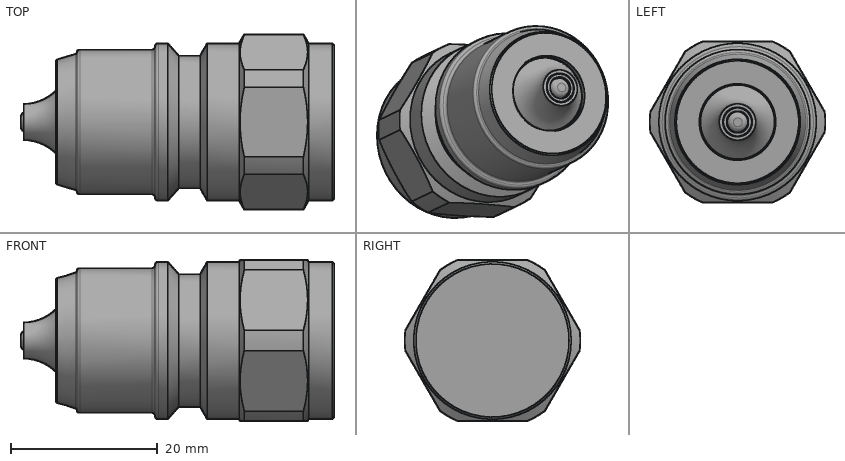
import cadquery as cq
import math

length = 42.8

pin_radius = 1.4
pin_round = 0.8
pin_depth = 0.85
pin_gap_radius = 1.5
ring_radius = 1.93
ring_gap_radius = 2.0
ring_gap_depth = 0.43
nose_start = 0.43
nose_radius = 2.5
nose_flare = 6.2
nose_base_radius = 5.05

socket_radius = 5.22
socket_floor = 5.8

face_x = 4.8
face_radius = 8.55
face_round = 0.2
lead_end = 7.45
lead_radius = 9.3
lead_fillet = 0.2
plug_radius = 9.9
plug_round = 0.4

body_radius = 10.75
collar_start = 17.9
collar_end = 20.08
groove_radius = 9.08
groove_start = 21.58
groove_end = 24.5
groove_angle = 60.0
end_chamfer = 0.3

hex_start = 29.8
hex_end = 39.3
across_flats = 22.0
hex_corner_radius = 12.0
hex_chamfer_angle = 60.0


def revolve_about_x(profile):
    """Turn a closed (x, radius) profile around the X axis."""
    return profile.close().revolve(360, (0, 0, 0), (1, 0, 0))


def make_turned_body():
    """Plug, collar, groove and rear cylinder, with the front socket."""
    plug_start = lead_end + lead_fillet
    collar_round = (body_radius - plug_radius) / 2
    collar_face = collar_start + collar_round
    groove_run = (body_radius - groove_radius) / math.tan(math.radians(groove_angle))
    profile = (
        cq.Workplane("XY")
        .moveTo(socket_floor, 0)
        .lineTo(socket_floor, socket_radius)
        .lineTo(face_x, socket_radius)
        .lineTo(face_x, face_radius - face_round)
        .lineTo(face_x + face_round, face_radius)
        .lineTo(lead_end, lead_radius)
        .radiusArc((plug_start, lead_radius + lead_fillet), -lead_fillet)
        .radiusArc((plug_start + plug_round, plug_radius), plug_round)
        .lineTo(collar_start, plug_radius)
        .radiusArc((collar_face, plug_radius + collar_round), -collar_round)
        .radiusArc((collar_face + collar_round, body_radius), collar_round)
        .lineTo(collar_end, body_radius)
        .lineTo(groove_start, groove_radius)
        .lineTo(groove_end, groove_radius)
        .lineTo(groove_end + groove_run, body_radius)
        .lineTo(length - end_chamfer, body_radius)
        .lineTo(length, body_radius - end_chamfer)
        .lineTo(length, 0)
    )
    return revolve_about_x(profile)


def flare_point(radius):
    """Point on the concave nose flare at the given radius."""
    drop = nose_flare - (radius - nose_radius)
    return (nose_start + math.sqrt(nose_flare**2 - drop**2), radius)


def make_nose():
    """Pin, ring and flared nose, standing on the socket floor."""
    nose_base = flare_point(nose_base_radius)
    flare_middle = flare_point((nose_radius + nose_base_radius) / 2)
    profile = (
        cq.Workplane("XY")
        .moveTo(0, 0)
        .lineTo(0, pin_radius - pin_round)
        .radiusArc((pin_round, pin_radius), pin_round)
        .lineTo(nose_start + pin_depth, pin_radius)
        .lineTo(nose_start + pin_depth, pin_gap_radius)
        .lineTo(nose_start, pin_gap_radius)
        .lineTo(nose_start, ring_radius)
        .lineTo(nose_start + ring_gap_depth, ring_radius)
        .lineTo(nose_start + ring_gap_depth, ring_gap_radius)
        .lineTo(nose_start, ring_gap_radius)
        .lineTo(nose_start, nose_radius)
        .threePointArc(flare_middle, nose_base)
        .lineTo(socket_floor, nose_base_radius)
        .lineTo(socket_floor, 0)
    )
    return revolve_about_x(profile)


def make_hexagon():
    """Hexagon with flats facing +Z and -Z, its corners turned and chamfered."""
    corner_diameter = across_flats / math.cos(math.pi / 6)
    prism = (
        cq.Workplane("YZ", origin=(hex_start, 0, 0))
        .polygon(6, corner_diameter)
        .extrude(hex_end - hex_start)
    )
    chamfer_run = (hex_corner_radius - body_radius) / math.tan(math.radians(hex_chamfer_angle))
    envelope = revolve_about_x(
        cq.Workplane("XY")
        .moveTo(hex_start, 0)
        .lineTo(hex_start, body_radius)
        .lineTo(hex_start + chamfer_run, hex_corner_radius)
        .lineTo(hex_end - chamfer_run, hex_corner_radius)
        .lineTo(hex_end, body_radius)
        .lineTo(hex_end, 0)
    )
    return prism.intersect(envelope)


result = make_turned_body().union(make_nose()).union(make_hexagon())